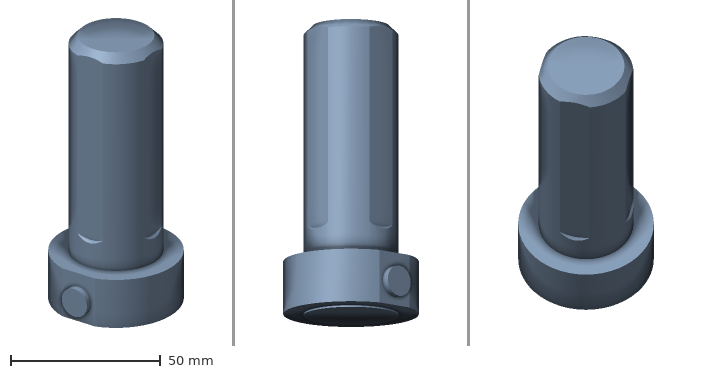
import cadquery as cq

total_height = 98.65
shank_diameter = 31.73
top_chamfer = 3.0

foot_diameter = 32.0
foot_height = 0.6
collar_diameter = 45.41
collar_top = 18.5
collar_flat_offset = 21.7

pin_diameter = 10.29
pin_tip_offset = 24.165
pin_center_height = 8.5

flat_count = 4
flat_offset = 15.0
flat_bottom = 28.4
runout_radius = 15.0
runout_angle = 45.0
cut_margin = 1.0


def make_shank():
    """Chamfered round bar running from the foot to the top."""
    bar = cq.Workplane("XY").circle(shank_diameter / 2).extrude(total_height)
    return bar.faces(">Z").chamfer(top_chamfer)


def make_foot():
    """Thin disc standing slightly below the collar."""
    return cq.Workplane("XY").circle(foot_diameter / 2).extrude(foot_height)


def make_collar():
    """Wide ring around the lower end with one flat on the -Y side."""
    collar_radius = collar_diameter / 2
    collar_height = collar_top - foot_height
    collar = cq.Workplane("XY").workplane(offset=foot_height).circle(collar_radius).extrude(collar_height)
    flat_cutter = cq.Workplane("XY").box(
        collar_diameter, collar_radius, total_height, centered=(True, False, False)
    ).translate((0, -collar_flat_offset - collar_radius, 0))
    return collar.cut(flat_cutter)


def make_pin():
    """Pin along -Y, rooted on the shank axis and ending beyond the collar flat."""
    pin_plane = cq.Workplane("XZ", origin=(0, 0, pin_center_height))
    return pin_plane.circle(pin_diameter / 2).extrude(pin_tip_offset)


def make_flat_cutter():
    """Cutter for the -Y flat: a conical lower end continued straight up past the top."""
    depth = shank_diameter / 2 - flat_offset + cut_margin
    center_height = flat_bottom + runout_radius
    cone = cq.Workplane("XZ", origin=(0, -flat_offset, center_height)).circle(runout_radius)
    cone = cone.extrude(depth, taper=-runout_angle)
    block = cq.Workplane("XY").box(
        shank_diameter, depth, total_height, centered=(True, False, False)
    ).translate((0, -flat_offset - depth, center_height))
    return cone.union(block)


shank = make_shank()
flat_cutter = make_flat_cutter()
for index in range(flat_count):
    angle = index * 360 / flat_count
    shank = shank.cut(flat_cutter.rotate((0, 0, 0), (0, 0, 1), angle))

result = shank.union(make_foot()).union(make_collar()).union(make_pin())